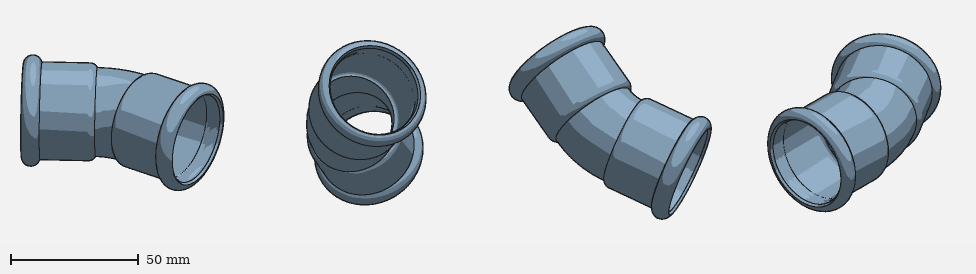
import cadquery as cq
import math


bend_angle = 30.0
socket_length = 29.0
vertex_to_mouth = 37.25
bend_radius = (vertex_to_mouth - socket_length) / math.tan(math.radians(bend_angle / 2))

socket_radius = 38.4 / 2
bore_radius = 35.4 / 2
wall = socket_radius - bore_radius
bead_outer_radius = 43.65 / 2
bead_width = 7.35
bead_round = bead_width / 2
bead_center_radius = bead_outer_radius - bead_round

tube_outer_radius = 17.5
tube_inner_radius = tube_outer_radius - wall
shoulder_length = 2.85
inner_shoulder_start = socket_length - shoulder_length
inner_shoulder_end = inner_shoulder_start + bore_radius - tube_inner_radius

mouth_radius = 18.7
mouth_chamfer_depth = 1.1
seal_seat_radius = 35.8 / 2
seal_width = 3.0
seal_height = 0.2
seal_start = bead_round - seal_width / 2 - 0.15
seal_end = seal_start + seal_width
seat_depth = 6.5
bore_depth = 7.1


def shoulder_arc(profile, start_depth, start_radius, end_depth, end_radius):
    """Add an arc that leaves a cylinder tangentially and curves in to a smaller radius."""
    length = end_depth - start_depth
    drop = start_radius - end_radius
    arc_radius = (length**2 + drop**2) / (2 * drop)
    half_sweep = math.asin(length / arc_radius) / 2
    middle = (
        start_depth + arc_radius * math.sin(half_sweep),
        start_radius - arc_radius * (1 - math.cos(half_sweep)),
    )
    return profile.threePointArc(middle, (end_depth, end_radius))


def revolve_profile(profile):
    return profile.close().revolve(360, (0, 0, 0), (1, 0, 0))


def socket_body():
    """Solid socket along +X with its mouth at the origin."""
    profile = (
        cq.Workplane("XY")
        .lineTo(0, bead_center_radius)
        .threePointArc((bead_round, bead_outer_radius), (bead_width, bead_center_radius))
        .lineTo(bead_width, socket_radius)
        .lineTo(socket_length - shoulder_length, socket_radius)
    )
    profile = shoulder_arc(
        profile, socket_length - shoulder_length, socket_radius, socket_length, tube_outer_radius
    )
    return revolve_profile(profile.lineTo(socket_length, 0))


def socket_bore():
    """Space inside the socket, narrowed by the sealing ring and ending at the tube bore."""
    profile = (
        cq.Workplane("XY")
        .lineTo(0, mouth_radius)
        .lineTo(mouth_chamfer_depth, seal_seat_radius)
        .lineTo(seal_start, seal_seat_radius)
        .threePointArc(
            ((seal_start + seal_end) / 2, seal_seat_radius - seal_height),
            (seal_end, seal_seat_radius),
        )
        .lineTo(seat_depth, seal_seat_radius)
        .lineTo(bore_depth, bore_radius)
        .lineTo(inner_shoulder_start, bore_radius)
    )
    profile = shoulder_arc(
        profile,
        inner_shoulder_start,
        bore_radius,
        inner_shoulder_end,
        tube_inner_radius,
    )
    return revolve_profile(profile.lineTo(socket_length, tube_inner_radius).lineTo(socket_length, 0))


def curved_rod(radius):
    """Round bar following the bend, from the +X socket round to the other one."""
    return (
        cq.Workplane("YZ", origin=(vertex_to_mouth - socket_length, 0, 0))
        .circle(radius)
        .revolve(bend_angle, (-bend_radius, 0, 0), (-bend_radius, 1, 0))
    )


def place_both(socket):
    """Put one copy on the +X leg and one on the leg that is bent toward -Y."""
    inclined = socket.translate((-vertex_to_mouth, 0, 0)).rotate((0, 0, 0), (0, 0, 1), bend_angle)
    straight = socket.translate((-vertex_to_mouth, 0, 0)).rotate((0, 0, 0), (0, 0, 1), 180)
    return straight.union(inclined)


outside = place_both(socket_body()).union(curved_rod(tube_outer_radius))
inside = place_both(socket_bore()).union(curved_rod(tube_inner_radius))
result = outside.cut(inside)